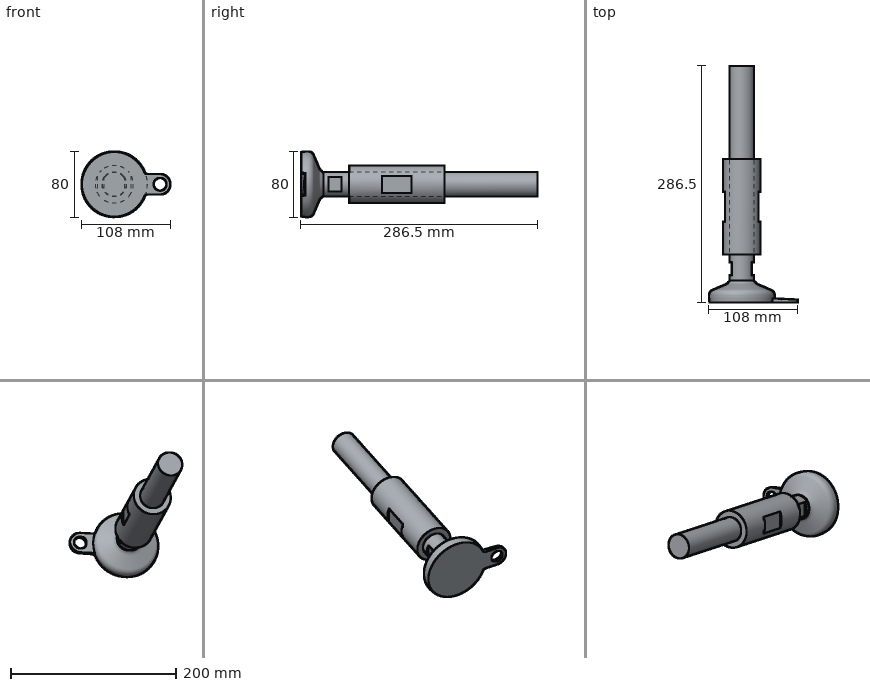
import cadquery as cq
import math

total_length = 286.5

spindle_diameter = 30.0
spindle_radius = spindle_diameter / 2
neck_flat_width = 24.5
neck_flat_start = 33.2
neck_flat_end = 48.7

foot_diameter = 80.0
foot_radius = foot_diameter / 2
sole_radius = 39.3
rim_start = 6.0
rim_end = 8.5
shoulder_radius = 7.5
shoulder_slope = math.radians(67)
collar_base_radius = 19.8
collar_bend_radius = 17.8
collar_bend_height = 23.2
collar_top_radius = 14.3
foot_height = 27.0

overall_width = 108.0
lug_reach = overall_width - foot_radius
lug_radius = 12.5
lug_hole_diameter = 15.2
lug_root_fillet = 4.3
lug_root_thickness = 5.2
lug_tip_thickness = 3.7
lug_center_x = lug_reach - lug_radius

sleeve_radius = 23.0
sleeve_start = 58.2
sleeve_end = 174.0
sleeve_flat_width = 41.0
sleeve_flat_length = 35.8


def cylinder(radius, start, end):
    """Cylinder around the Y axis between two heights."""
    return cq.Workplane("XZ", origin=(0, start, 0)).circle(radius).extrude(start - end)


def cut_flats(body, radius, width, start, end):
    """Cut two opposite wrench flats, facing -X and +X, into a round body."""
    depth = radius - width / 2
    for side in (-1, 1):
        cutter = cq.Workplane("XY").box(depth, end - start, 2 * radius)
        body = body.cut(cutter.translate((side * (width + depth) / 2, (start + end) / 2, 0)))
    return body


def shoulder_point(angle):
    """Point on the rounded shoulder, at an angle measured from the rim."""
    return (
        foot_radius - shoulder_radius * (1 - math.cos(angle)),
        rim_end + shoulder_radius * math.sin(angle),
    )


def make_foot_disc():
    shoulder_end = shoulder_point(shoulder_slope)
    cone_rise = (shoulder_end[0] - collar_base_radius) / math.tan(shoulder_slope)
    return (
        cq.Workplane("XY")
        .lineTo(sole_radius, 0)
        .lineTo(foot_radius, rim_start)
        .lineTo(foot_radius, rim_end)
        .threePointArc(shoulder_point(shoulder_slope / 2), shoulder_end)
        .lineTo(collar_base_radius, shoulder_end[1] + cone_rise)
        .lineTo(collar_bend_radius, collar_bend_height)
        .lineTo(collar_top_radius, foot_height)
        .lineTo(0, foot_height)
        .close()
        .revolve(360, (0, 0, 0), (0, 1, 0))
    )


def make_lug():
    """Holed lug whose root blends into the sole and whose upper face falls towards the tip."""
    fillet_z = lug_radius + lug_root_fillet
    fillet_x = math.sqrt((sole_radius + lug_root_fillet) ** 2 - fillet_z**2)
    center_angle = math.atan2(fillet_z, fillet_x)
    touch_x = sole_radius * math.cos(center_angle)
    touch_z = sole_radius * math.sin(center_angle)
    side_angle = 1.5 * math.pi
    middle_angle = (center_angle + math.pi + side_angle) / 2
    middle_x = fillet_x + lug_root_fillet * math.cos(middle_angle)
    middle_z = fillet_z + lug_root_fillet * math.sin(middle_angle)

    outline = (
        cq.Workplane("XZ")
        .moveTo(0, 0)
        .lineTo(touch_x, touch_z)
        .threePointArc((middle_x, middle_z), (fillet_x, lug_radius))
        .lineTo(lug_center_x, lug_radius)
        .threePointArc((lug_reach, 0), (lug_center_x, -lug_radius))
        .lineTo(fillet_x, -lug_radius)
        .threePointArc((middle_x, -middle_z), (touch_x, -touch_z))
        .close()
        .extrude(-rim_start)
    )
    wedge = (
        cq.Workplane("XY")
        .polyline([
            (0, 0),
            (lug_reach, 0),
            (lug_reach, lug_tip_thickness),
            (fillet_x, lug_root_thickness),
            (0, lug_root_thickness),
        ])
        .close()
        .extrude(sole_radius, both=True)
    )
    hole = cylinder(lug_hole_diameter / 2, 0, rim_start).translate((lug_center_x, 0, 0))
    return outline.intersect(wedge).cut(hole)


def make_spindle():
    """Spindle with its foot and lug, one solid."""
    rod = cylinder(spindle_radius, foot_height, total_length)
    rod = cut_flats(rod, spindle_radius, neck_flat_width, neck_flat_start, neck_flat_end)
    return make_foot_disc().union(make_lug()).union(rod)


def make_sleeve():
    """Sleeve around the spindle, with wrench flats at the middle of its length."""
    middle = (sleeve_start + sleeve_end) / 2
    sleeve = cylinder(sleeve_radius, sleeve_start, sleeve_end)
    sleeve = cut_flats(
        sleeve,
        sleeve_radius,
        sleeve_flat_width,
        middle - sleeve_flat_length / 2,
        middle + sleeve_flat_length / 2,
    )
    return sleeve.cut(cylinder(spindle_radius, sleeve_start, sleeve_end))


spindle = make_spindle()
sleeve = make_sleeve()
result = cq.Compound.makeCompound([spindle.val(), sleeve.val()])